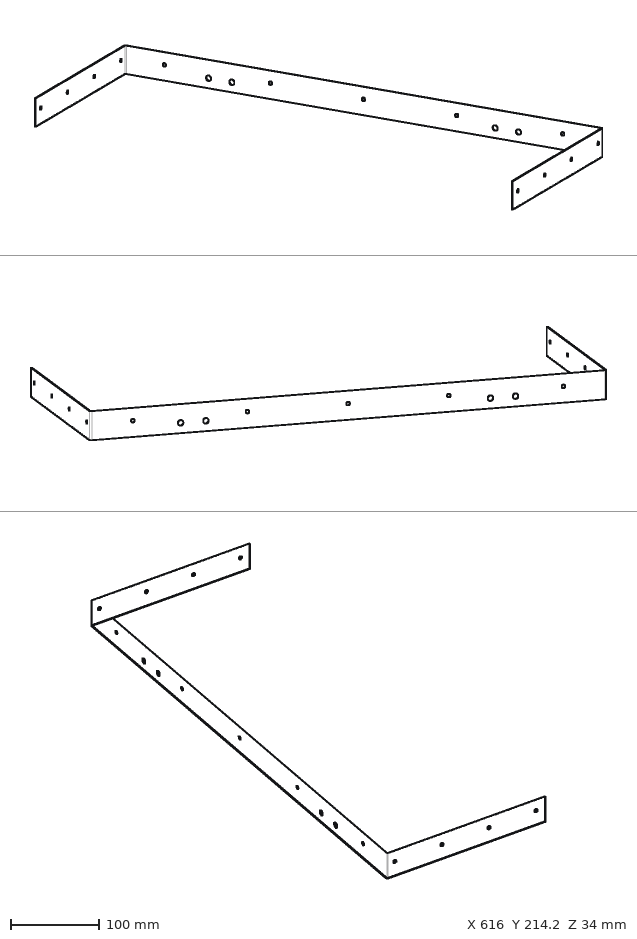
import cadquery as cq

width = 616.0
depth = 214.2
height = 34.0
thickness = 1.5
inner_bend_radius = 1.0
outer_bend_radius = inner_bend_radius + thickness

small_diameter = 4.2
small_z = 2.0
small_offsets = [0.0, 120.0, 256.5]
large_diameter = 6.5
large_z = -4.9
large_offsets = [169.5, 199.5]

arm_hole_count = 4
arm_hole_pitch = 63.5
arm_row_y = 0.25

web_outer_y = depth / 2


def make_strip():
    """U-shaped strip, open towards -Y, with rounded bends at both back corners."""
    outer = cq.Workplane("XY").box(width, depth, height)
    outer = outer.edges("|Z and >Y").fillet(outer_bend_radius)
    opening = cq.Workplane("XY").box(width - 2 * thickness, depth, height)
    opening = opening.edges("|Z and >Y").fillet(inner_bend_radius)
    return outer.cut(opening.translate((0, -thickness, 0)))


def web_holes(offsets, diameter, z):
    """Cylinders through the web at plus and minus each offset."""
    places = sorted({side * offset for offset in offsets for side in (-1, 1)})
    return (
        cq.Workplane("XZ", origin=(0, web_outer_y, z))
        .pushPoints([(x, 0) for x in places])
        .circle(diameter / 2)
        .extrude(thickness)
    )


def arm_holes():
    """Cylinders running through both arms."""
    return (
        cq.Workplane("YZ", origin=(-width / 2, arm_row_y, small_z))
        .rarray(arm_hole_pitch, 1, arm_hole_count, 1)
        .circle(small_diameter / 2)
        .extrude(width)
    )


result = (
    make_strip()
    .cut(web_holes(small_offsets, small_diameter, small_z))
    .cut(web_holes(large_offsets, large_diameter, large_z))
    .cut(arm_holes())
)